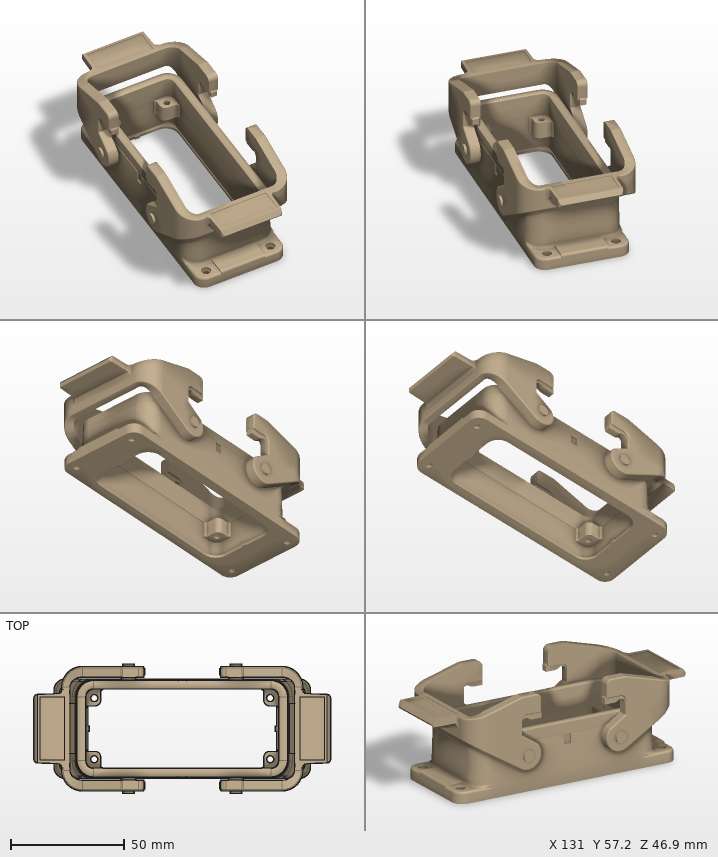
import cadquery as cq
import math

FLANGE_HALF_X = 56.5
FLANGE_HALF_Y = 22.0
FLANGE_RADIUS = 5.1
CORNER_TOP = 5.6
PAD_TOP = 6.4
PAD_HALF_Y = 11.0
FLANGE_ROUND = 1.2
SCREW_X = 51.8
SCREW_Y = 16.1
SCREW_HEAD_DIAMETER = 4.5
SCREW_HEAD_DEPTH = 1.5
SCREW_HOLE_DIAMETER = 3.0

TOWER_FOOT_Z = 5.2
TOWER_HALF_X = 47.1
TOWER_HALF_Y = 22.0
TOWER_RADIUS = 7.9
TOWER_DRAFT = 1.7
COVE_RADIUS = 1.5
LEDGE_Z = 23.0
COLLAR_HALF_X = 46.3
COLLAR_HALF_Y = 21.2
COLLAR_RADIUS = 7.2
RIM_Z = 28.9
RIM_CROWN = 0.5

CAVITY_HALF_X = 42.4
CAVITY_HALF_Y = 17.4
CAVITY_RADIUS = 3.4
FLARE = 0.3
UNDERCUT = 0.5
FLOOR_Z = 1.3
FLOOR_HALF_X = 41.5
FLOOR_RADIUS = 6.5
KEY_REACH = 0.5
KEY_WIDTH = 2.4

LUG_TOP = 17.7
LUG_BOTTOM = 10.0
LUG_INNER_X = 35.9
LUG_INNER_Y = 10.0
LUG_RADIUS = 2.6
LUG_FLUTE = 1.0
LUG_HOLE_X = 38.7
LUG_HOLE_Y = 13.5
LUG_HOLE_DIAMETER = 3.0
WALL_BITE = 1.3

SLOT_WIDTH = 3.7
SLOT_BOTTOM = 18.2
SLOT_DEPTH = 0.8

PIVOT_X = 23.7
PIVOT_Z = 19.0
PIN_DIAMETER = 5.1
PIN_SPAN_Y = 57.2
BOSS_DIAMETER = 6.5

ARM_OUTER_Y = 27.5
ARM_INNER_Y = 22.6
BACK_OUTER_X = 53.1
BACK_INNER_X = 49.5
BEND_RADIUS = 9.2
BEND_SECTIONS = 7
ARM_EDGE_ROUND = 0.7
PIVOT_RADIUS = 7.0
NECK_ANGLE = 40
NOSE_ANGLE = -35
LEVER_TOP = 46.9
HOOK_TIP_X = 16.9
HOOK_TOP_X = 26.7
HOOK_CORNER = 2.5
SHOULDER_RADIUS = 2.5
HOOK_UNDERSIDE = 38.0
SLOT_BACK_X = 26.6
SLOT_CORNER = 2.6
SLOT_FOOT_Z = 28.8
BACK_TOP = 39.5
BACK_BOTTOM = 28.8
LIP_INNER_Y = 23.5
LIP_OUTER_Y = 26.6
LIP_FRONT_X = 16.4
LIP_BOTTOM = 35.2
LIP_FOOT_X = 20.5
LIP_HOLLOW_X = 24.2
LIP_HOLLOW_Z = 36.4
LIP_BACK_Z = 34.0
LIP_BITE = 0.7

TAB_END_X = 65.5
TAB_HALF_Y = 15.5
TAB_THICKNESS = 3.5
TAB_END_HALF_Y = 15.2
TAB_CORNER = 1.8
TAB_GUSSET_X = 0.8
TAB_GUSSET_Z = 2.1
TAB_BEVEL_X = 1.7
TAB_BEVEL_Z = 2.4
TAB_UNDER_BEVEL = 0.8
TAB_ROOT_ROUND = 1.8
RECESS_START_X = 51.8
RECESS_END_X = 62.6
RECESS_HALF_Y = 13.9
RECESS_DEPTH = 0.4

CORNERS = [(sx, sy) for sx in (-1, 1) for sy in (-1, 1)]


def rounded_block(half_x, half_y, radius, bottom, top, draft=0):
    """Upright block with rounded corners, centred on the Z axis."""
    outline = cq.Sketch().rect(2 * half_x, 2 * half_y).vertices().fillet(radius)
    return cq.Workplane("XY", origin=(0, 0, bottom)).placeSketch(outline).extrude(top - bottom, taper=draft)


def box_between(x, y, z):
    """Box given by its (low, high) limits along each axis."""
    size = [high - low for low, high in (x, y, z)]
    return cq.Workplane("XY", origin=(x[0], y[0], z[0])).box(*size, centered=False)


def tower():
    return rounded_block(TOWER_HALF_X, TOWER_HALF_Y, TOWER_RADIUS, TOWER_FOOT_Z, LEDGE_Z, TOWER_DRAFT)


def flange():
    """Foot plate with rounded ends, flush long sides and a raised pad at each end."""
    plate = rounded_block(FLANGE_HALF_X, FLANGE_HALF_Y, FLANGE_RADIUS, 0, CORNER_TOP)
    plate = plate.faces(">Z").edges().fillet(FLANGE_ROUND)
    side_x = TOWER_HALF_X - TOWER_RADIUS
    sides = box_between((-side_x, side_x), (-FLANGE_HALF_Y, FLANGE_HALF_Y), (0, TOWER_FOOT_Z))
    pad = box_between((-FLANGE_HALF_X, FLANGE_HALF_X), (-PAD_HALF_Y, PAD_HALF_Y), (0, PAD_TOP))
    pad = pad.faces(">Z").edges("|Y").fillet(FLANGE_ROUND)
    return plate.union(sides).union(pad)


def tower_coves():
    """Concave rounding between the tower and the two flange ends."""
    apron = rounded_block(FLANGE_HALF_X, 2 * FLANGE_HALF_Y, FLANGE_RADIUS, 0, CORNER_TOP)
    near_foot = cq.selectors.BoxSelector(
        (-TOWER_HALF_X - 1.3, -TOWER_HALF_Y - 1.3, CORNER_TOP - 0.1),
        (TOWER_HALF_X + 1.3, TOWER_HALF_Y + 1.3, CORNER_TOP + 0.1), boundingbox=True)
    coved = apron.union(tower()).edges(near_foot).fillet(COVE_RADIUS)
    straight_x = TOWER_HALF_X - TOWER_RADIUS
    full_y = (-FLANGE_HALF_Y, FLANGE_HALF_Y)
    heights = (CORNER_TOP, LEDGE_Z)
    ends = box_between((-FLANGE_HALF_X, FLANGE_HALF_X), full_y, heights)
    ends = ends.cut(box_between((-straight_x, straight_x), full_y, heights))
    reach = COVE_RADIUS + 0.1
    limits = rounded_block(
        TOWER_HALF_X + reach, TOWER_HALF_Y + reach, TOWER_RADIUS + reach, CORNER_TOP, LEDGE_Z)
    return coved.intersect(ends).intersect(limits)


def collar():
    """Upper walls of the housing, crowned by a gently arched rim."""
    wall_top = RIM_Z - RIM_CROWN
    walls = rounded_block(COLLAR_HALF_X, COLLAR_HALF_Y, COLLAR_RADIUS, LEDGE_Z - 1.3, wall_top)
    path = (
        cq.Workplane("XY", origin=(0, 0, wall_top))
        .rect(2 * COLLAR_HALF_X, 2 * COLLAR_HALF_Y).extrude(1.3)
        .edges("|Z").fillet(COLLAR_RADIUS).faces("<Z").wires()
    )
    rim_thickness = COLLAR_HALF_Y - CAVITY_HALF_Y
    rim = (
        cq.Workplane("XZ")
        .moveTo(COLLAR_HALF_X, wall_top)
        .threePointArc((COLLAR_HALF_X - rim_thickness / 2, RIM_Z), (COLLAR_HALF_X - rim_thickness, wall_top))
        .close()
        .sweep(path)
    )
    return walls.union(rim)


def cavity():
    """Inside of the housing, stepped and flared, with the keyed mouth at the bottom."""
    upper = rounded_block(CAVITY_HALF_X, CAVITY_HALF_Y, CAVITY_RADIUS, FLOOR_Z, RIM_Z)
    flare_height = LEDGE_Z - LUG_TOP
    flare = rounded_block(
        CAVITY_HALF_X + FLARE, CAVITY_HALF_Y + FLARE, CAVITY_RADIUS + FLARE, LUG_TOP, LEDGE_Z,
        math.degrees(math.atan(FLARE / flare_height)))
    lower = rounded_block(
        CAVITY_HALF_X + UNDERCUT, CAVITY_HALF_Y + UNDERCUT, CAVITY_RADIUS + UNDERCUT, FLOOR_Z, LUG_TOP)
    mouth = rounded_block(FLOOR_HALF_X, CAVITY_HALF_Y, FLOOR_RADIUS, 0, FLOOR_Z)
    key_x = FLOOR_HALF_X - KEY_REACH
    for low, high in ((-FLOOR_HALF_X, -key_x), (key_x, FLOOR_HALF_X)):
        mouth = mouth.cut(box_between((low, high), (-KEY_WIDTH / 2, KEY_WIDTH / 2), (0, FLOOR_Z)))
    return upper.union(flare).union(lower).union(mouth)


def lug(sx, sy):
    """Screw lug in one inner corner, with a flute where it meets each wall."""
    wall_x = CAVITY_HALF_X + UNDERCUT
    wall_y = CAVITY_HALF_Y + UNDERCUT
    outer_x = wall_x + WALL_BITE
    outer_y = wall_y + WALL_BITE
    outline = (
        cq.Workplane("XY", origin=(0, 0, LUG_BOTTOM))
        .moveTo(outer_x, outer_y)
        .lineTo(outer_x, LUG_INNER_Y - LUG_FLUTE)
        .lineTo(wall_x, LUG_INNER_Y - LUG_FLUTE)
        .radiusArc((wall_x - LUG_FLUTE, LUG_INNER_Y), LUG_FLUTE)
        .lineTo(LUG_INNER_X + LUG_RADIUS, LUG_INNER_Y)
        .radiusArc((LUG_INNER_X, LUG_INNER_Y + LUG_RADIUS), LUG_RADIUS)
        .lineTo(LUG_INNER_X, wall_y - LUG_FLUTE)
        .radiusArc((LUG_INNER_X - LUG_FLUTE, wall_y), LUG_FLUTE)
        .lineTo(LUG_INNER_X - LUG_FLUTE, outer_y)
        .close()
    )
    body = outline.extrude(LUG_TOP - LUG_BOTTOM)
    hole = (
        cq.Workplane("XY", origin=(LUG_HOLE_X, LUG_HOLE_Y, LUG_BOTTOM))
        .circle(LUG_HOLE_DIAMETER / 2).extrude(LUG_TOP - LUG_BOTTOM)
    )
    body = body.cut(hole)
    if sx < 0:
        body = body.mirror("YZ")
    if sy < 0:
        body = body.mirror("XZ")
    return body


def pivot(sx, sy):
    """Boss and pin on which one lever arm turns."""
    start_y = CAVITY_HALF_Y + UNDERCUT + WALL_BITE
    plane = cq.Workplane("XZ", origin=(sx * PIVOT_X, -start_y, PIVOT_Z))
    boss = plane.circle(BOSS_DIAMETER / 2).extrude(ARM_INNER_Y - start_y)
    pin = plane.circle(PIN_DIAMETER / 2).extrude(PIN_SPAN_Y / 2 - start_y)
    body = boss.union(pin)
    if sy > 0:
        body = body.mirror("XZ")
    return body


def screw_holes():
    """Counterbored holes in the four flange corners."""
    places = [(sx * SCREW_X, sy * SCREW_Y) for sx, sy in CORNERS]
    seat_z = CORNER_TOP - SCREW_HEAD_DEPTH
    shanks = cq.Workplane("XY").pushPoints(places).circle(SCREW_HOLE_DIAMETER / 2).extrude(CORNER_TOP)
    heads = (
        cq.Workplane("XY", origin=(0, 0, seat_z)).pushPoints(places)
        .circle(SCREW_HEAD_DIAMETER / 2).extrude(SCREW_HEAD_DEPTH + COVE_RADIUS)
    )
    return shanks.union(heads)


def make_housing():
    body = flange().union(tower()).union(tower_coves()).union(collar())
    body = body.cut(cavity())
    for sx, sy in CORNERS:
        body = body.union(lug(sx, sy)).union(pivot(sx, sy))
    body = body.cut(screw_holes())
    tower_top_y = TOWER_HALF_Y - (LEDGE_Z - TOWER_FOOT_Z) * math.tan(math.radians(TOWER_DRAFT))
    for sy in (-1, 1):
        wall_y = sorted((sy * (tower_top_y - SLOT_DEPTH), sy * FLANGE_HALF_Y))
        body = body.cut(box_between((-SLOT_WIDTH / 2, SLOT_WIDTH / 2), wall_y, (SLOT_BOTTOM, LEDGE_Z)))
    return body


def pivot_rim_point(angle):
    """Point on the round pivot end at an angle in radians, counted up from +X."""
    return (-PIVOT_X + PIVOT_RADIUS * math.cos(angle), PIVOT_Z + PIVOT_RADIUS * math.sin(angle))


def underside_tangent_point():
    """Point where the sloping underside of the arm runs into the round pivot end."""
    dx = PIVOT_X - BACK_OUTER_X
    dz = BACK_BOTTOM - PIVOT_Z
    half_angle = math.acos(PIVOT_RADIUS / math.hypot(dx, dz))
    return pivot_rim_point(math.atan2(dz, dx) + half_angle)


def arm_profile():
    """Side outline of the left-hand lever with back, hook, slot and round pivot end, as a wide prism."""
    shoulder = cq.selectors.NearestToPointSelector((-HOOK_TOP_X, 0, LEVER_TOP))
    return (
        cq.Workplane("XZ")
        .moveTo(-BACK_OUTER_X, BACK_BOTTOM)
        .lineTo(-BACK_OUTER_X, BACK_TOP)
        .lineTo(-HOOK_TOP_X, LEVER_TOP)
        .lineTo(-HOOK_TIP_X - HOOK_CORNER, LEVER_TOP)
        .radiusArc((-HOOK_TIP_X, LEVER_TOP - HOOK_CORNER), HOOK_CORNER)
        .lineTo(-HOOK_TIP_X, HOOK_UNDERSIDE)
        .lineTo(-SLOT_BACK_X + SLOT_CORNER, HOOK_UNDERSIDE)
        .radiusArc((-SLOT_BACK_X, HOOK_UNDERSIDE - SLOT_CORNER), -SLOT_CORNER)
        .lineTo(-SLOT_BACK_X, SLOT_FOOT_Z)
        .lineTo(*pivot_rim_point(math.radians(NECK_ANGLE)))
        .threePointArc(pivot_rim_point(math.radians(NOSE_ANGLE)), underside_tangent_point())
        .close()
        .extrude(ARM_OUTER_Y, both=True)
        .edges("|Y").edges(shoulder).fillet(SHOULDER_RADIUS)
    )


def bend_section(turn):
    """Upright section of the bend; turn runs from 0 at the arm to a quarter turn at the back."""
    center_x = BACK_OUTER_X - BEND_RADIUS
    center_y = ARM_OUTER_Y - BEND_RADIUS
    across = math.sin(turn)
    along = math.cos(turn)
    outer = (-center_x - BEND_RADIUS * across, -center_y - BEND_RADIUS * along)
    inner = (-center_x - (BACK_INNER_X - center_x) * across, -center_y - (ARM_INNER_Y - center_y) * along)
    top_slope = (LEVER_TOP - BACK_TOP) / (BACK_OUTER_X - HOOK_TOP_X)
    low_x, low_z = underside_tangent_point()
    bottom_slope = (low_z - BACK_BOTTOM) / (low_x + BACK_OUTER_X)
    from_back = outer[0] + BACK_OUTER_X
    top = BACK_TOP + top_slope * from_back
    bottom = BACK_BOTTOM + bottom_slope * from_back
    corners = [(*outer, bottom), (*outer, top), (*inner, top), (*inner, bottom)]
    return cq.Wire.makePolygon([cq.Vector(*corner) for corner in corners], close=True)


def bow():
    """Arms, bends and back of the lever, open toward the middle of the housing."""
    bend_x = BACK_OUTER_X - BEND_RADIUS
    bend_y = ARM_OUTER_Y - BEND_RADIUS
    turns = [math.radians(90 * i / (BEND_SECTIONS - 1)) for i in range(BEND_SECTIONS)]
    bend = cq.Workplane(cq.Solid.makeLoft([bend_section(turn) for turn in turns]))
    arm = arm_profile().intersect(box_between((-bend_x, 0), (-ARM_OUTER_Y, -ARM_INNER_Y), (0, LEVER_TOP)))
    side = arm.union(bend)
    back = box_between((-BACK_OUTER_X, -BACK_INNER_X), (-bend_y, bend_y), (BACK_BOTTOM, BACK_TOP))
    return back.union(side).union(side.mirror("XZ"))


def round_outer_edges(body):
    """Round the rim of the outer face all along arms, bends and back."""
    diagonal = BEND_RADIUS * math.sqrt(0.5)
    bend_x = -BACK_OUTER_X + BEND_RADIUS - diagonal
    bend_y = ARM_OUTER_Y - BEND_RADIUS + diagonal
    bend_z = (BACK_TOP + BACK_BOTTOM) / 2
    outer_faces = body.faces("<Y or >Y or <X")
    for y in (-bend_y, bend_y):
        outer_faces = outer_faces.add(body.faces(cq.selectors.NearestToPointSelector((bend_x, y, bend_z))))
    return outer_faces.edges("not |Z").fillet(ARM_EDGE_ROUND)


def hook_lip(side):
    """Thinner catch hanging below the hook."""
    lip = (
        cq.Workplane("XZ", origin=(0, -LIP_INNER_Y, 0))
        .moveTo(-HOOK_TIP_X, HOOK_UNDERSIDE + LIP_BITE)
        .lineTo(-LIP_FRONT_X, HOOK_UNDERSIDE)
        .lineTo(-LIP_FRONT_X, LIP_BOTTOM)
        .lineTo(-LIP_FOOT_X, LIP_BOTTOM)
        .spline([(-LIP_HOLLOW_X, LIP_HOLLOW_Z), (-SLOT_BACK_X, LIP_BACK_Z)],
                tangents=[(-1, 0), (-1, 0), (0, -1)], includeCurrent=True)
        .lineTo(-SLOT_BACK_X - LIP_BITE, LIP_BACK_Z)
        .lineTo(-SLOT_BACK_X - LIP_BITE, HOOK_UNDERSIDE + LIP_BITE)
        .close()
        .extrude(LIP_OUTER_Y - LIP_INNER_Y)
    )
    return lip if side < 0 else lip.mirror("XZ")


def tab():
    """Finger tab with bevelled end: side profile limited to the plan outline."""
    bottom = BACK_TOP - TAB_THICKNESS
    inside_x = BACK_INNER_X + ARM_EDGE_ROUND
    root_y = TAB_HALF_Y + TAB_ROOT_ROUND
    profile = (
        cq.Workplane("XZ")
        .moveTo(-inside_x, bottom - TAB_GUSSET_Z)
        .lineTo(-inside_x, BACK_TOP)
        .lineTo(-TAB_END_X + TAB_BEVEL_X, BACK_TOP)
        .lineTo(-TAB_END_X, BACK_TOP - TAB_BEVEL_Z)
        .lineTo(-TAB_END_X + TAB_UNDER_BEVEL, bottom)
        .lineTo(-BACK_OUTER_X - TAB_GUSSET_X, bottom)
        .lineTo(-BACK_OUTER_X, bottom - TAB_GUSSET_Z)
        .close()
        .extrude(root_y, both=True)
    )
    outline = (
        cq.Workplane("XY")
        .moveTo(-inside_x, -root_y)
        .lineTo(-BACK_OUTER_X, -root_y)
        .radiusArc((-BACK_OUTER_X - TAB_ROOT_ROUND, -TAB_HALF_Y), -TAB_ROOT_ROUND)
        .lineTo(-TAB_END_X + TAB_CORNER, -TAB_END_HALF_Y)
        .radiusArc((-TAB_END_X, -TAB_END_HALF_Y + TAB_CORNER), TAB_CORNER)
        .lineTo(-TAB_END_X, TAB_END_HALF_Y - TAB_CORNER)
        .radiusArc((-TAB_END_X + TAB_CORNER, TAB_END_HALF_Y), TAB_CORNER)
        .lineTo(-BACK_OUTER_X - TAB_ROOT_ROUND, TAB_HALF_Y)
        .radiusArc((-BACK_OUTER_X, root_y), -TAB_ROOT_ROUND)
        .lineTo(-inside_x, root_y)
        .close()
        .extrude(LEVER_TOP)
    )
    return profile.intersect(outline)


def tab_recess():
    """Shallow rectangular recess in the top of the finger tab."""
    return box_between(
        (-RECESS_END_X, -RECESS_START_X),
        (-RECESS_HALF_Y, RECESS_HALF_Y),
        (BACK_TOP - RECESS_DEPTH, BACK_TOP))


def make_left_lever():
    body = round_outer_edges(bow())
    body = body.union(tab()).cut(tab_recess())
    for side in (-1, 1):
        body = body.union(hook_lip(side))
    pin_hole = (
        cq.Workplane("XZ", origin=(-PIVOT_X, ARM_OUTER_Y, PIVOT_Z))
        .circle(PIN_DIAMETER / 2).extrude(2 * ARM_OUTER_Y)
    )
    return body.cut(pin_hole)


housing = make_housing()
left_lever = make_left_lever()
levers = [left_lever, left_lever.mirror("YZ")]

result = cq.Compound.makeCompound([housing.val(), *[lever.val() for lever in levers]])